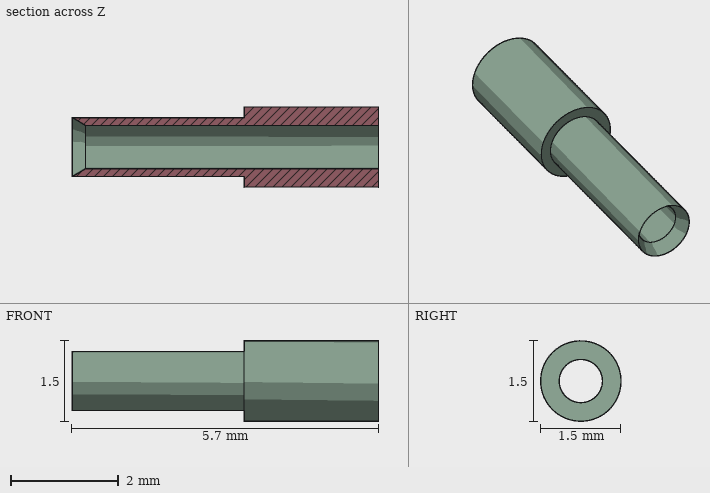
import cadquery as cq

total_length = 5.7
tube_length = 3.2
tube_diameter = 1.1
collar_diameter = 1.5
bore_diameter = 0.8

lead_in_depth = 0.25

tube_radius = tube_diameter / 2
collar_radius = collar_diameter / 2
bore_radius = bore_diameter / 2


def sleeve():
    """Revolve the half section around the X axis, starting at the tube end."""
    half_section = (
        cq.Workplane("XY")
        .moveTo(0, tube_radius)
        .lineTo(tube_length, tube_radius)
        .lineTo(tube_length, collar_radius)
        .lineTo(total_length, collar_radius)
        .lineTo(total_length, bore_radius)
        .lineTo(lead_in_depth, bore_radius)
        .close()
    )
    return half_section.revolve(360, (0, 0, 0), (1, 0, 0))


result = sleeve()